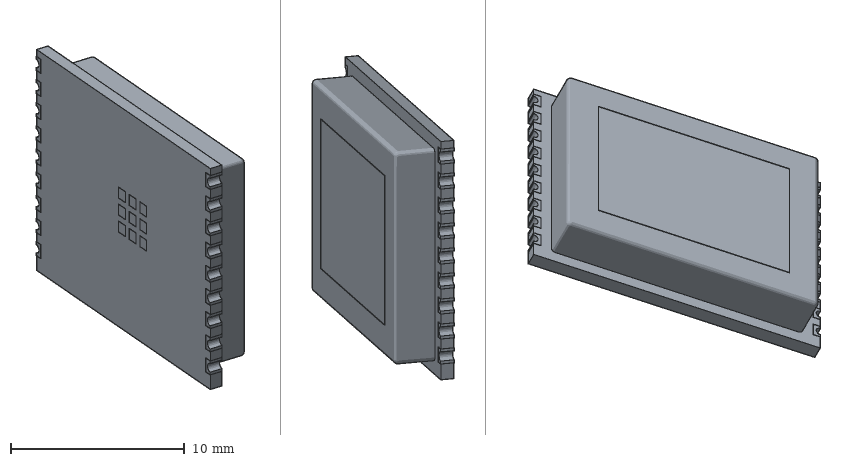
import cadquery as cq

FULL_LENGTH = 18.02
BOARD_HEIGHT = 14.3
BOARD_THICKNESS = 0.8

FACE_PLATING = 0.02
SIDE_PLATING = 0.009
CONTACT_COUNT = 9
CONTACT_SPAN = 12.0
CONTACT_OFFSET_Z = 0.25
CONTACT_HEIGHT = 0.9
CONTACT_REACH = 0.45
NOTCH_RADIUS = 0.27

GRID_COUNT = 3
GRID_PITCH = 1.1
GRID_PAD_SIZE = 0.7
GRID_PAD_THICKNESS = 0.009
GRID_CENTRE_X = 0.95
GRID_CENTRE_Z = 0.43

OVERALL_DEPTH = 3.26
CAN_LENGTH = 15.79
CAN_HEIGHT = 12.75
CAN_FILLET = 0.27
LABEL_THICKNESS = 0.029
LABEL_LENGTH = 12.0

BOARD_LENGTH = FULL_LENGTH - 2 * SIDE_PLATING
BOARD_BACK_Y = BOARD_THICKNESS
CAN_DEPTH = OVERALL_DEPTH - FACE_PLATING - BOARD_THICKNESS - LABEL_THICKNESS
CAN_BACK_Y = BOARD_BACK_Y + CAN_DEPTH
LABEL_HEIGHT = CAN_HEIGHT - (CAN_LENGTH - LABEL_LENGTH)
CONTACT_PITCH = CONTACT_SPAN / (CONTACT_COUNT - 1)
CONTACT_CENTRES_Z = [
    CONTACT_OFFSET_Z - CONTACT_SPAN / 2 + i * CONTACT_PITCH for i in range(CONTACT_COUNT)
]


def slab(length, height, start_y, depth, centre_x=0, centre_z=0):
    """Rectangular block centred in X and Z that runs from start_y along +Y."""
    return cq.Workplane("XY").box(length, depth, height).translate(
        (centre_x, start_y + depth / 2, centre_z)
    )


def edge_contact(side, centre_z):
    """Plating block around one side edge; side is -1 for -X and +1 for +X."""
    width = CONTACT_REACH + SIDE_PLATING
    centre_x = side * (FULL_LENGTH - width) / 2
    depth = BOARD_THICKNESS + 2 * FACE_PLATING
    return slab(width, CONTACT_HEIGHT, -FACE_PLATING, depth, centre_x, centre_z)


def edge_notch(side, centre_z):
    """Round cutter along Y, centred on one side edge."""
    depth = BOARD_THICKNESS + 2 * FACE_PLATING
    cutter = cq.Workplane("XZ").circle(NOTCH_RADIUS).extrude(-depth)
    return cutter.translate((side * FULL_LENGTH / 2, -FACE_PLATING, centre_z))


def make_board():
    board = slab(BOARD_LENGTH, BOARD_HEIGHT, 0, BOARD_THICKNESS)

    for side in (-1, 1):
        for centre_z in CONTACT_CENTRES_Z:
            board = board.union(edge_contact(side, centre_z))
            board = board.cut(edge_notch(side, centre_z))

    first = -(GRID_COUNT - 1) / 2 * GRID_PITCH
    for column in range(GRID_COUNT):
        for row in range(GRID_COUNT):
            x = GRID_CENTRE_X + first + column * GRID_PITCH
            z = GRID_CENTRE_Z + first + row * GRID_PITCH
            pad = slab(GRID_PAD_SIZE, GRID_PAD_SIZE, -GRID_PAD_THICKNESS, GRID_PAD_THICKNESS, x, z)
            board = board.union(pad)
    return board


def make_shield_can():
    can = slab(CAN_LENGTH, CAN_HEIGHT, BOARD_BACK_Y, CAN_DEPTH)
    can = can.edges("|Y or >Y").fillet(CAN_FILLET)
    label = slab(LABEL_LENGTH, LABEL_HEIGHT, CAN_BACK_Y, LABEL_THICKNESS)
    return can.union(label)


board = make_board()
shield_can = make_shield_can()

result = cq.Compound.makeCompound([board.val(), shield_can.val()])